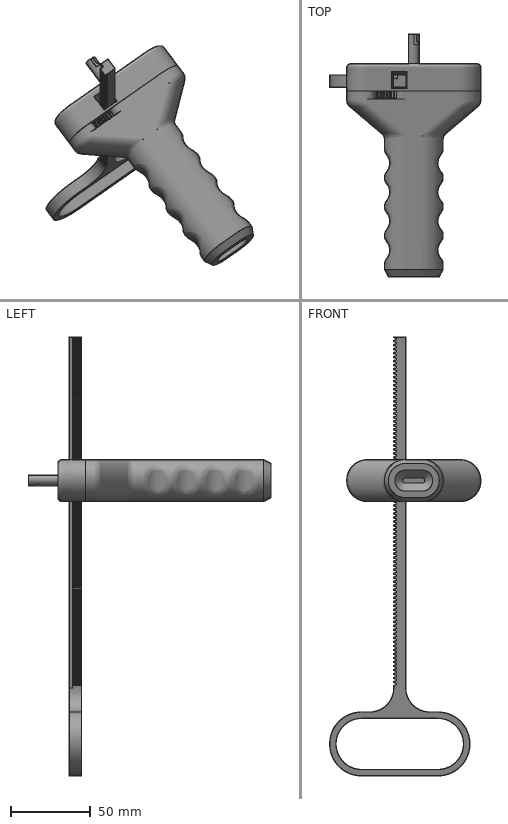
import cadquery as cq
import math


body_height = 26.5
head_width = 84.2
grip_width = 36.8
grip_flat = grip_width - body_height

cover_depth = 17.3
cover_rim_radius = 2.8

head_depth = 8.0
neck_depth = 28.0
body_length = 116.3
shoulder_radius = 4.5
neck_radius = 3.8
end_bevel_inset = 2.5
end_bevel_length = 4.7
edge_margin = 0.3

scallop_count = 4
scallop_pitch = 18.2
first_scallop_y = -45.0
scallop_radius = 8.2
scallop_depth = 3.3
scallop_rim_radius = 5.0

bore_height = 13.2
bore_floor_height = 3.3
bore_depth = 82.5
bore_tip_length = (bore_height - bore_floor_height) / 2

rack_top = 90.0
rack_length = 275.0
rack_bottom = rack_top - rack_length
rack_right = -5.0
rack_left = -12.6
rack_front = 2.5
rack_thickness = 7.7
rack_center_x = (rack_left + rack_right) / 2
rack_back = rack_front + rack_thickness
tooth_count = 87
toothed_length = 218.5
tooth_depth = 1.6
tooth_tip_share = 0.25
tooth_flank_share = 0.25
strip_thickness = 2.2
strip_recess = 2.5
handle_width = 88.0
handle_height = 40.2
handle_wall = 4.0
flare_radius = 14.8
handle_top = rack_bottom + handle_height
flare_top = handle_top + flare_radius
tooth_pitch = toothed_length / tooth_count

waist_clearance = 0.3
mouth_left = -14.0
mouth_right = -4.0
mouth_front = 1.6
mouth_back = 12.5

shaft_radius = 3.45
shaft_tip = 35.8
bayonet_width = 1.6
bayonet_offset = 0.8
bayonet_floor = 2.2
bayonet_turn_y = 30.2

gear_x = -17.5
gear_teeth = 24
gear_outer_radius = 10.5
gear_root_radius = gear_outer_radius - tooth_depth
gear_tooth_tip_share = 0.3
gear_tooth_root_share = 0.7
gear_thickness = 4.0
pocket_depth = 5.0
pocket_clearance = 0.8
window_half_width = 6.5
window_rim_radius = 5.0


def stadium(width, height, y):
    """Workplane at the given Y holding a stadium centred on the grip axis, extruding toward -Y."""
    return cq.Workplane("XZ", origin=(0, y, 0)).slot2D(width, height)


def block(x_range, y_range, z_range):
    """Axis-aligned box between three coordinate pairs."""
    ranges = (x_range, y_range, z_range)
    sizes = [high - low for low, high in ranges]
    corner = tuple(low for low, high in ranges)
    return cq.Workplane(obj=cq.Solid.makeBox(*sizes, pnt=cq.Vector(*corner)))


def rack_passage():
    mid_x = (mouth_left + mouth_right) / 2
    mid_y = (mouth_front + mouth_back) / 2
    waist_x = rack_center_x - mid_x
    waist_y = (rack_front + rack_back) / 2 - mid_y
    waist_width = rack_right - rack_left + 2 * waist_clearance
    waist_thickness = rack_thickness + 2 * waist_clearance

    def flare(mouth_z):
        return (
            cq.Workplane("XY", origin=(mid_x, mid_y, 0))
            .center(waist_x, waist_y)
            .rect(waist_width, waist_thickness)
            .workplane(offset=mouth_z)
            .center(-waist_x, -waist_y)
            .rect(mouth_right - mouth_left, mouth_back - mouth_front)
            .loft(ruled=True)
        )

    return flare(body_height / 2).union(flare(-body_height / 2))


def make_cover():
    cover = stadium(head_width, body_height, cover_depth).extrude(cover_depth)
    cover = cover.faces(">Y").edges().fillet(cover_rim_radius)
    shaft_hole = cq.Workplane("XZ", origin=(0, cover_depth, 0)).circle(shaft_radius).extrude(cover_depth)
    return cover.cut(shaft_hole).cut(rack_passage())


def scallops():
    """Cylinders parallel to Z that bite into the +X and -X sides of the grip."""
    center_x = grip_width / 2 - scallop_depth + scallop_radius
    points = [
        (side * center_x, first_scallop_y - i * scallop_pitch)
        for side in (-1, 1)
        for i in range(scallop_count)
    ]
    return (
        cq.Workplane("XY", origin=(0, 0, -body_height / 2))
        .pushPoints(points)
        .circle(scallop_radius)
        .extrude(body_height)
    )


def tapered(width_0, height_0, y_0, width_1, height_1, y_1):
    """Ruled body between two stadiums at two places along Y."""
    return (
        stadium(width_0, height_0, y_0)
        .workplane(offset=y_0 - y_1)
        .slot2D(width_1, height_1)
        .loft(ruled=True)
    )


def edges_between(body, y_low, y_high):
    """Edges of a body that lie wholly between two places along Y."""
    reach = head_width
    corner_low = (-reach, y_low, -reach)
    corner_high = (reach, y_high, reach)
    return body.edges(cq.selectors.BoxSelector(corner_low, corner_high, boundingbox=True))


def make_outer_form():
    """Head, shoulder and grip with rounded transitions and finger scallops."""
    grip_end = -body_length + end_bevel_length
    head = stadium(head_width, body_height, 0).extrude(head_depth)
    shoulder = tapered(head_width, body_height, -head_depth, grip_width, body_height, -neck_depth)
    grip = stadium(grip_width, body_height, -neck_depth).extrude(-neck_depth - grip_end)
    form = head.union(shoulder).union(grip)
    form = edges_between(form, -head_depth - edge_margin, -head_depth + edge_margin).fillet(shoulder_radius)
    form = edges_between(form, -neck_depth - edge_margin, -neck_depth + edge_margin).fillet(neck_radius)
    form = form.cut(scallops())
    scallop_start = first_scallop_y + scallop_radius
    return edges_between(form, grip_end + edge_margin, scallop_start).fillet(scallop_rim_radius)


def gear_pocket():
    """Round gear pocket in the joint face, opening upward through a window with rounded ends."""
    top = body_height / 2
    rim_start = top - window_rim_radius
    swing = window_rim_radius * (1 - math.sqrt(0.5))
    rim_half_width = window_half_width + window_rim_radius
    plane = cq.Workplane("XZ", origin=(gear_x, 0, 0))
    pocket = plane.circle(gear_outer_radius + pocket_clearance).extrude(pocket_depth)
    window = (
        plane.moveTo(-window_half_width, 0)
        .lineTo(-window_half_width, rim_start)
        .threePointArc((-window_half_width - swing, top - swing), (-rim_half_width, top))
        .lineTo(rim_half_width, top)
        .threePointArc((window_half_width + swing, top - swing), (window_half_width, rim_start))
        .lineTo(window_half_width, 0)
        .close()
        .extrude(pocket_depth)
    )
    return pocket.union(window)


def make_grip_body():
    end_y = -body_length
    bevel = tapered(
        grip_width, body_height, end_y + end_bevel_length,
        grip_width - 2 * end_bevel_inset, body_height - 2 * end_bevel_inset, end_y,
    )
    tip_y = end_y + bore_depth
    bore_width = grip_flat + bore_height
    bore = stadium(bore_width, bore_height, tip_y).extrude(bore_depth)
    bore_tip = tapered(
        grip_flat + bore_floor_height, bore_floor_height, tip_y + bore_tip_length,
        bore_width, bore_height, tip_y,
    )
    return make_outer_form().union(bevel).cut(bore).cut(bore_tip).cut(gear_pocket())


def rack_teeth_outline():
    """Tooth profile down the left side of the rack, from the top downward."""
    tip = tooth_tip_share * tooth_pitch
    flank = tooth_flank_share * tooth_pitch
    root_x = rack_left + tooth_depth
    points = []
    for i in range(tooth_count):
        z = rack_top - i * tooth_pitch
        points += [
            (rack_left, z - tip / 2),
            (root_x, z - tip / 2 - flank),
            (root_x, z - tooth_pitch + tip / 2 + flank),
            (rack_left, z - tooth_pitch + tip / 2),
        ]
    return points


def make_rack():
    plane = cq.Workplane("XZ", origin=(0, rack_back, 0))
    swing = flare_radius * (1 - math.sqrt(0.5))
    ring_middle = handle_top - handle_wall / 2
    bar = plane.moveTo(rack_right, rack_top).lineTo(rack_left, rack_top)
    for point in rack_teeth_outline():
        bar = bar.lineTo(*point)
    bar = (
        bar.lineTo(rack_left, flare_top)
        .threePointArc((rack_left - swing, handle_top + swing), (rack_left - flare_radius, handle_top))
        .lineTo(rack_left - flare_radius, ring_middle)
        .lineTo(rack_right + flare_radius, ring_middle)
        .lineTo(rack_right + flare_radius, handle_top)
        .threePointArc((rack_right + swing, handle_top + swing), (rack_right, flare_top))
        .close()
        .extrude(rack_thickness)
    )
    handle = (
        plane.center(rack_center_x, rack_bottom + handle_height / 2)
        .slot2D(handle_width, handle_height)
        .slot2D(handle_width - 2 * handle_wall, handle_height - 2 * handle_wall)
        .extrude(rack_thickness)
    )
    strip = block(
        (rack_left, rack_left + strip_recess),
        (rack_back - strip_thickness, rack_back),
        (flare_top, rack_top),
    )
    return bar.cut(strip).union(handle)


def bayonet_slot():
    """J-shaped slot at the top of the shaft tip: in along the axis, then sideways toward +X."""
    half = bayonet_width / 2
    entry = block(
        (bayonet_offset - half, bayonet_offset + half),
        (bayonet_turn_y - half, shaft_tip),
        (bayonet_floor, shaft_radius),
    )
    turn = block(
        (bayonet_offset - half, shaft_radius),
        (bayonet_turn_y - half, bayonet_turn_y + half),
        (bayonet_floor, shaft_radius),
    )
    return entry.union(turn)


def make_shaft():
    shaft = cq.Workplane("XZ", origin=(0, shaft_tip, 0)).circle(shaft_radius).extrude(shaft_tip)
    for angle in (0, 180):
        shaft = shaft.cut(bayonet_slot().rotate((0, 0, 0), (0, 1, 0), angle))
    return shaft


def make_gear():
    step = 2 * math.pi / gear_teeth
    half_tip = gear_tooth_tip_share / 2
    half_root = gear_tooth_root_share / 2
    tooth = [
        (gear_root_radius, -half_root),
        (gear_outer_radius, -half_tip),
        (gear_outer_radius, half_tip),
        (gear_root_radius, half_root),
    ]
    points = []
    for i in range(gear_teeth):
        for radius, share in tooth:
            angle = (i + share) * step
            points.append((radius * math.sin(angle), radius * math.cos(angle)))
    return cq.Workplane("XZ", origin=(gear_x, 0, 0)).polyline(points).close().extrude(gear_thickness)


cover = make_cover()
grip_body = make_grip_body()
rack = make_rack()
shaft = make_shaft()
gear = make_gear()

bodies = [cover, grip_body, rack, shaft, gear]
result = cq.Compound.makeCompound([body.solids().val() for body in bodies])